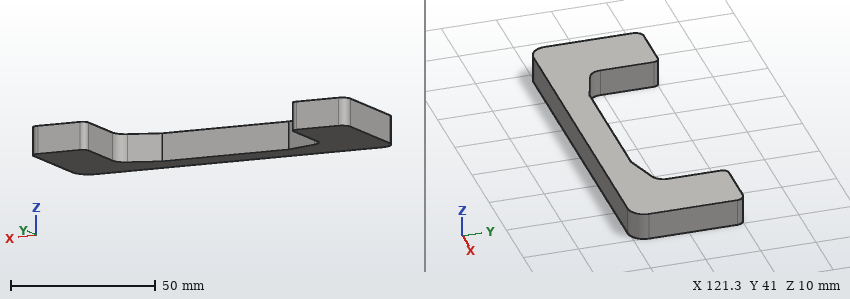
import cadquery as cq

length = 121.3
depth = 41.0
thickness = 10.0

arm_width = 21.3
bar_width = 10.8
bar_flat_length = 48.5
ramp_rise = 5.0

bar_corner_radius = 6.0
arm_outer_radius = 3.0
arm_inner_radius = 2.2
ramp_corner_radius = 5.0

half_length = length / 2
inner_x = half_length - arm_width
half_flat = bar_flat_length / 2
ramp_top = bar_width + ramp_rise


def round_corner_pair(body, x, y, radius):
    """Round the two vertical edges at (-x, y) and (x, y)."""
    for side in (-1, 1):
        corner = cq.selectors.NearestToPointSelector((side * x, y, thickness / 2))
        body = body.edges("|Z").edges(corner).fillet(radius)
    return body


right_half = [
    (half_length, 0),
    (half_length, depth),
    (inner_x, depth),
    (inner_x, ramp_top),
    (half_flat, bar_width),
]
left_half = [(-x, y) for x, y in reversed(right_half)]
result = cq.Workplane("XY").polyline(right_half + left_half).close().extrude(thickness)

result = round_corner_pair(result, half_length, 0, bar_corner_radius)
result = round_corner_pair(result, half_length, depth, arm_outer_radius)
result = round_corner_pair(result, inner_x, depth, arm_inner_radius)
result = round_corner_pair(result, inner_x, ramp_top, ramp_corner_radius)